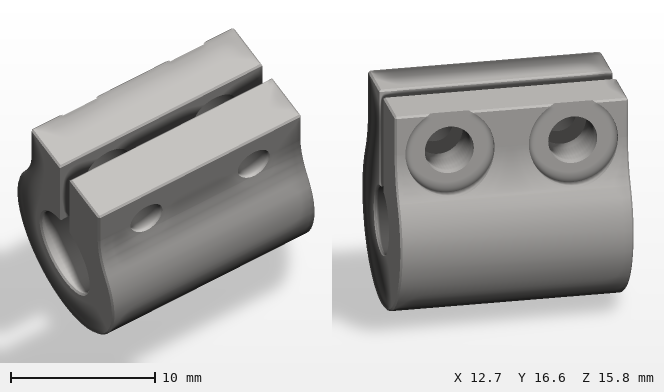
import cadquery as cq
import math

length = 16.57
barrel_radius = 12.68 / 2
arm_half_width = 4.47
total_height = 15.82
arm_top = total_height - barrel_radius
neck_radius = barrel_radius
edge_chamfer = 0.13

wide_bore_radius = 3.16
narrow_bore_radius = 2.37
wide_bore_depth = 8.28
drill_point_angle = 118.0
slot_width = 1.26

screw_spacing = 8.77
screw_height = 6.65
counterbore_diameter = 6.33
counterbore_floor = -4.26
clearance_diameter = 3.48
thread_diameter = 2.6


def make_body():
    """Barrel blended into the arm block by concave necks, with broken edges."""
    center_distance = barrel_radius + neck_radius
    neck_center_x = arm_half_width + neck_radius
    neck_center_z = math.sqrt(center_distance**2 - neck_center_x**2)
    contact_x = neck_center_x * barrel_radius / center_distance
    contact_z = neck_center_z * barrel_radius / center_distance

    half_sweep = math.atan2(neck_center_z, neck_center_x) / 2
    neck_mid_x = neck_center_x - neck_radius * math.cos(half_sweep)
    neck_mid_z = neck_center_z - neck_radius * math.sin(half_sweep)

    body = (
        cq.Workplane("XZ", origin=(0, length / 2, 0))
        .moveTo(-arm_half_width, arm_top)
        .lineTo(-arm_half_width, neck_center_z)
        .threePointArc((-neck_mid_x, neck_mid_z), (-contact_x, contact_z))
        .threePointArc((0, -barrel_radius), (contact_x, contact_z))
        .threePointArc((neck_mid_x, neck_mid_z), (arm_half_width, neck_center_z))
        .lineTo(arm_half_width, arm_top)
        .close()
        .extrude(length)
    )
    return body.faces("<Y or >Y or >Z").edges().chamfer(edge_chamfer)


def make_bore():
    """Revolved stepped bore, flared at both ends by the edge chamfer."""
    front = -length / 2
    back = length / 2
    step = front + wide_bore_depth
    cone_length = (wide_bore_radius - narrow_bore_radius) / math.tan(math.radians(drill_point_angle / 2))
    return (
        cq.Workplane("XY")
        .moveTo(0, front)
        .lineTo(wide_bore_radius + edge_chamfer, front)
        .lineTo(wide_bore_radius, front + edge_chamfer)
        .lineTo(wide_bore_radius, step)
        .lineTo(narrow_bore_radius, step + cone_length)
        .lineTo(narrow_bore_radius, back - edge_chamfer)
        .lineTo(narrow_bore_radius + edge_chamfer, back)
        .lineTo(0, back)
        .close()
        .revolve(360, (0, 0, 0), (0, 1, 0))
    )


def make_slot():
    """Clamping slot from the bore up to the arm tops, flared at its mouth."""
    half_width = slot_width / 2
    mouth_half_width = half_width + edge_chamfer
    return (
        cq.Workplane("XZ", origin=(0, length / 2, 0))
        .moveTo(-half_width, 0)
        .lineTo(half_width, 0)
        .lineTo(half_width, arm_top - edge_chamfer)
        .lineTo(mouth_half_width, arm_top)
        .lineTo(-mouth_half_width, arm_top)
        .lineTo(-half_width, arm_top - edge_chamfer)
        .close()
        .extrude(length)
    )


def x_cylinder(diameter, start_x, end_x, y):
    """Cylinder along X at screw height."""
    return (
        cq.Workplane("YZ", origin=(start_x, y, screw_height))
        .circle(diameter / 2)
        .extrude(end_x - start_x)
    )


def make_screw_hole(y):
    """Counterbore and clearance hole in the -X arm, thread hole in the +X arm."""
    counterbore = x_cylinder(counterbore_diameter, -barrel_radius, counterbore_floor, y)
    clearance = x_cylinder(clearance_diameter, counterbore_floor, 0, y)
    thread = x_cylinder(thread_diameter, 0, barrel_radius, y)
    return counterbore.union(clearance).union(thread)


result = make_body().cut(make_bore()).cut(make_slot())
for screw_y in (-screw_spacing / 2, screw_spacing / 2):
    result = result.cut(make_screw_hole(screw_y))